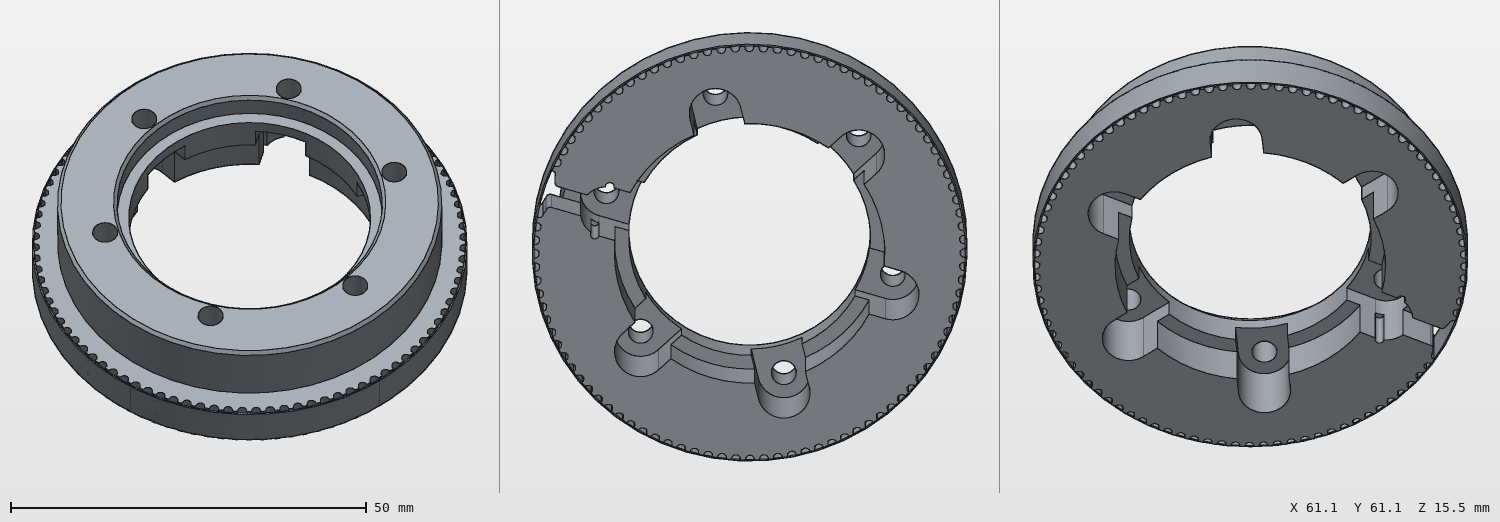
import cadquery as cq
import math

height = 15.5
flange_height = 6.5
body_radius = 54.0 / 2
body_chamfer = 0.5

sleeve_radius = 61.1 / 2
sleeve_thickness = 0.25
sleeve_inset = 0.35
tip_radius = sleeve_radius - sleeve_thickness
tooth_count = 96
tooth_pitch_angle = 360 / tooth_count
groove_radius = 0.6
tip_fillet_radius = 0.15
root_radius = 29.6
groove_centre_radius = root_radius + groove_radius

bore_radius = 34.0 / 2
seat_radius = 37.3 / 2
seat_depth = 3.5
seat_chamfer = 0.5
lower_bore_radius = 19.0
lower_bore_depth = 6.95

hole_count = 6
hole_diameter = 3.5
hole_circle_radius = 21.0
pocket_radius = 3.65
pocket_depth = 10.1

slot_width = 3.2
slot_corner_radius = 0.6
slot_mouth_y = 29.2
recess_half_angle = 1.5 * tooth_pitch_angle

grip_groove_y = hole_circle_radius + 0.6


def cylinder(radius, bottom, top):
    return cq.Workplane("XY").workplane(offset=bottom).circle(radius).extrude(top - bottom)


def polar_point(radius, angle):
    return (radius * math.cos(math.radians(angle)), radius * math.sin(math.radians(angle)))


def make_toothed_disc():
    """Disc with rounded tooth tips and round-bottomed grooves, the slot lying between two grooves."""
    fillet_centre_radius = tip_radius - tip_fillet_radius
    centre_distance = groove_radius + tip_fillet_radius
    fillet_angle = math.degrees(math.acos(
        (fillet_centre_radius**2 + groove_centre_radius**2 - centre_distance**2)
        / (2 * fillet_centre_radius * groove_centre_radius)
    ))

    def fillet_points(groove_angle, side):
        """Tip end, middle and groove end of the fillet on one side (-1 or +1) of a groove."""
        outward = cq.Vector(*polar_point(1, groove_angle + side * fillet_angle))
        centre = outward * fillet_centre_radius
        groove_centre = cq.Vector(*polar_point(groove_centre_radius, groove_angle))
        to_groove = (groove_centre - centre).normalized()
        middle = (outward + to_groove).normalized()
        return [(centre + way * tip_fillet_radius).toTuple()[:2] for way in (outward, middle, to_groove)]

    first_angle = 90 + tooth_pitch_angle / 2
    disc = cq.Workplane("XY").moveTo(*fillet_points(first_angle, -1)[0])
    for index in range(tooth_count):
        groove_angle = first_angle + index * tooth_pitch_angle
        next_angle = groove_angle + tooth_pitch_angle
        _, entry_middle, entry_end = fillet_points(groove_angle, -1)
        tip_start, exit_middle, exit_end = fillet_points(groove_angle, 1)
        next_tip_end = fillet_points(next_angle, -1)[0]
        disc = (
            disc.threePointArc(entry_middle, entry_end)
            .threePointArc(polar_point(root_radius, groove_angle), exit_end)
            .threePointArc(exit_middle, tip_start)
            .threePointArc(polar_point(tip_radius, (groove_angle + next_angle) / 2), next_tip_end)
        )
    return disc.close().extrude(flange_height)


def make_slot_cutter():
    """Radial slot with rounded mouth, widening into a recess that ends at the tooth grooves beside it."""
    recess_left = polar_point(root_radius, 90 + recess_half_angle)
    recess_right = polar_point(root_radius, 90 - recess_half_angle)
    outer_right = polar_point(sleeve_radius, 90 - recess_half_angle)
    outer_left = polar_point(sleeve_radius, 90 + recess_half_angle)
    half_width = slot_width / 2
    mouth_x = half_width + slot_corner_radius
    corner_y = slot_mouth_y - slot_corner_radius
    middle = slot_corner_radius * (1 - math.sqrt(0.5))
    return (
        cq.Workplane("XY")
        .moveTo(-half_width, hole_circle_radius)
        .lineTo(half_width, hole_circle_radius)
        .lineTo(half_width, corner_y)
        .threePointArc((half_width + middle, slot_mouth_y - middle), (mouth_x, slot_mouth_y))
        .lineTo(*recess_right)
        .lineTo(*outer_right)
        .threePointArc((0, sleeve_radius), outer_left)
        .lineTo(*recess_left)
        .lineTo(-mouth_x, slot_mouth_y)
        .threePointArc((-half_width - middle, slot_mouth_y - middle), (-half_width, corner_y))
        .close()
        .extrude(flange_height)
    )


def make_sleeve():
    """Thin ring on the tooth tips, set back from both flange faces."""
    bottom = sleeve_inset
    top = flange_height - sleeve_inset
    return cylinder(sleeve_radius, bottom, top).cut(cylinder(tip_radius, bottom, top))


def make_bore_cutter():
    """Through bore with a wider lower part and a chamfered seat at the top."""
    seat_floor = height - seat_depth
    seat_flare = (
        cq.Workplane("XY").workplane(offset=height).circle(seat_radius + seat_chamfer)
        .extrude(-seat_chamfer, taper=45)
    )
    return (
        cylinder(bore_radius, 0, height)
        .union(cylinder(lower_bore_radius, 0, lower_bore_depth))
        .union(cylinder(seat_radius, seat_floor, height))
        .union(seat_flare)
    )


def make_screw_cutter(angle):
    """Through hole with a U-shaped pocket from the bottom face."""
    hole = cq.Workplane("XY").center(hole_circle_radius, 0).circle(hole_diameter / 2).extrude(height)
    pocket_round = (
        cq.Workplane("XY").center(hole_circle_radius, 0).circle(pocket_radius).extrude(pocket_depth)
    )
    pocket_mouth = cq.Workplane("XY").box(
        hole_circle_radius, 2 * pocket_radius, pocket_depth, centered=(False, True, False)
    )
    return hole.union(pocket_round).union(pocket_mouth).rotate((0, 0, 0), (0, 0, 1), angle)


def make_grip_cutter():
    """One round groove in each side wall of the +Y pocket."""
    centres = [(side * pocket_radius, grip_groove_y) for side in (-1, 1)]
    return cq.Workplane("XY").pushPoints(centres).circle(groove_radius).extrude(flange_height)


def make_body():
    return cylinder(body_radius, 0, height).faces(">Z").edges().chamfer(body_chamfer)


slotted_hub = make_body().union(make_toothed_disc()).cut(make_slot_cutter())
result = slotted_hub.union(make_sleeve()).cut(make_bore_cutter())
for hole_index in range(hole_count):
    result = result.cut(make_screw_cutter(90 + hole_index * 360 / hole_count))
result = result.cut(make_grip_cutter())